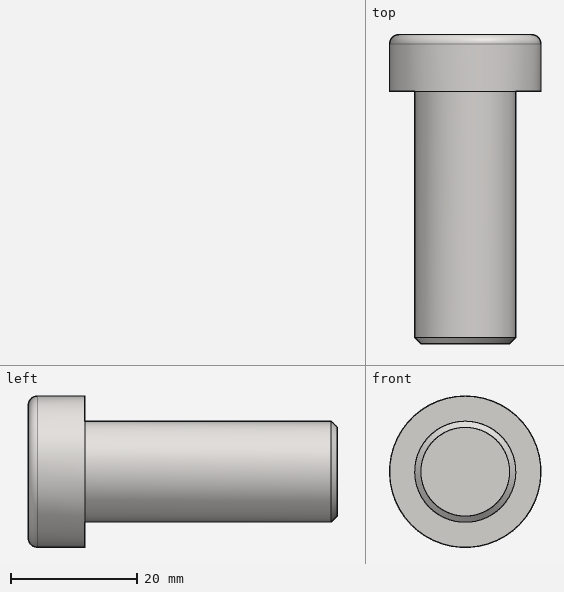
import cadquery as cq

total_length = 49.0
head_diameter = 24.0
head_length = 9.0
head_fillet = 1.5
shank_diameter = 16.0
tip_chamfer = 1.0

shank_length = total_length - head_length


def cylinder_along_y(diameter, start, length):
    """Solid cylinder centred on the Y axis, running from start toward +Y."""
    axis = cq.Vector(0, 1, 0)
    base = cq.Vector(0, start, 0)
    return cq.Workplane(cq.Solid.makeCylinder(diameter / 2, length, base, axis))


shank = cylinder_along_y(shank_diameter, 0, shank_length)
shank = shank.faces("<Y").edges().chamfer(tip_chamfer)

head = cylinder_along_y(head_diameter, shank_length, head_length)
head = head.faces(">Y").edges().fillet(head_fillet)

result = shank.union(head)